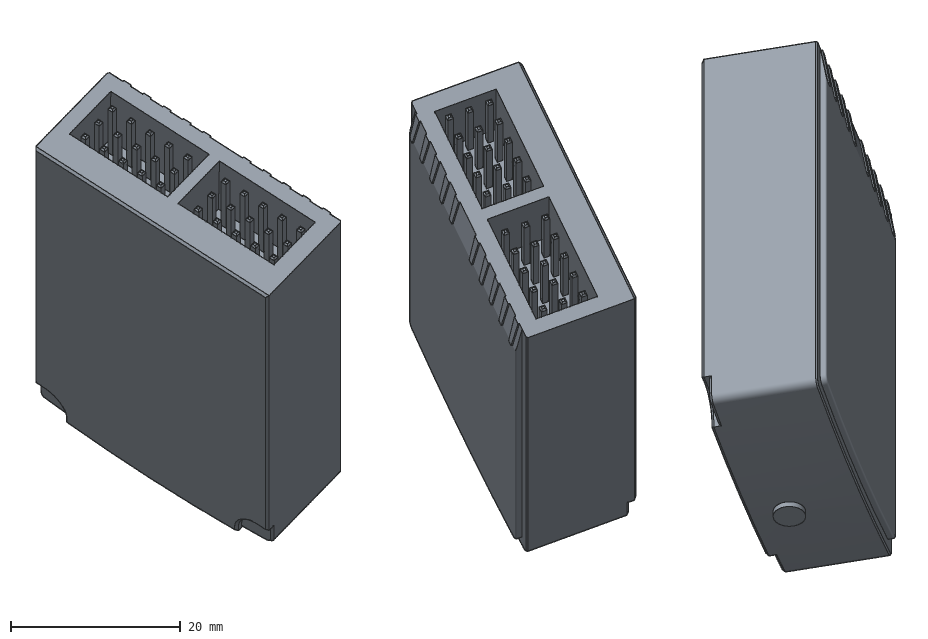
import cadquery as cq
import math

height = 52.4
case_width = 35.0
case_depth = 14.1
overall_depth = 15.1
knob_drop = 0.7
bottom_rise = 1.05
corner_radius = 1.0
front_chamfer = 0.3
back_chamfer = 0.185

recess_width = 4.6
recess_top = 5.25
recess_radius = 3.15
recess_depth = 0.95

plate_inset = 1.35
rib_height = 0.185
plate_thickness = overall_depth - rib_height - case_depth
ramp_length = 4.8
plate_edge_radius = 0.2
rib_base_width = 1.15
rib_crest_width = 0.75
rib_pitch = 3.0
ribs_per_group = 5
rib_group_centers = (-8.8, 9.15)

well_ranges = ((-15.5, -0.8), (0.8, 15.15))
well_front = 4.2
well_back = 12.05
well_back_draft = 0.2
well_depth = 9.45
pin_group_centers = (-8.5, 8.5)
pin_columns = 5
pin_rows = 3
pin_pitch_x = 2.85
pin_pitch_y = 2.55
pin_row_center = 8.0
pin_width = 0.75
pin_tip_chamfer = 0.2
pin_tip_clearance = 0.5

knob_diameter = 3.8
knob_x = -4.5
knob_y = 5.0
knob_embed = 1.05


def outline(inset):
    """Case outline in the XZ plane, moved inwards by inset on the sides and bottom."""
    half = case_width / 2 - inset
    low = knob_drop + inset
    return (
        cq.Workplane("XZ")
        .moveTo(-half, height)
        .lineTo(-half, low + bottom_rise)
        .threePointArc((0, low), (half, low + bottom_rise))
        .lineTo(half, height)
        .close()
    )


def slab(inset, front, back):
    """Outline extruded from front to back along Y, with rounded lower corners."""
    body = outline(inset).extrude(-(back - front)).translate((0, front, 0))
    return body.edges("|Y").edges("<Z").fillet(corner_radius)


def recess_cutter(side):
    """Full-depth block with a round inner upper corner, at one lower corner of the case."""
    edge = side * case_width / 2
    inner = edge - side * recess_width
    center_x = inner + side * recess_radius
    center_z = recess_top - recess_radius
    diagonal = recess_radius * math.sqrt(0.5)
    return (
        cq.Workplane("XZ")
        .moveTo(edge, recess_top)
        .lineTo(center_x, recess_top)
        .threePointArc((center_x - side * diagonal, center_z + diagonal), (inner, center_z))
        .lineTo(inner, 0)
        .lineTo(edge, 0)
        .close()
        .extrude(-case_depth)
    )


def make_case():
    """Case whose front face and recess floors both have chamfered borders."""
    front = slab(0, 0, case_depth)
    for side in (-1, 1):
        front = front.cut(recess_cutter(side))
    front = front.faces("<Y").chamfer(front_chamfer)
    rear = slab(0, recess_depth, case_depth).faces("<Y").chamfer(front_chamfer)
    case = front.union(rear)
    back_border = case.faces(">Y").edges("not >Z")
    return back_border.chamfer(back_chamfer)


def ramp_cutter(top_y):
    """Block behind a plane parallel to the ramp that meets the top face at top_y."""
    ramp_foot = height - ramp_length
    full_y = top_y + plate_thickness
    outer_y = full_y + plate_thickness
    return (
        cq.Workplane("YZ")
        .polyline([(top_y, height), (full_y, ramp_foot), (outer_y, ramp_foot), (outer_y, height)])
        .close()
        .extrude(case_width / 2, both=True)
    )


def make_plate():
    plate = slab(plate_inset, case_depth, case_depth + plate_thickness)
    plate = plate.cut(ramp_cutter(case_depth))
    return plate.faces(">Y").edges().fillet(plate_edge_radius)


def make_rib(x):
    """Trapezoid ridge lying along the ramp, standing off it by the rib height."""
    root = case_depth
    crest = overall_depth
    ridge = (
        cq.Workplane("XY", origin=(x, 0, height - ramp_length))
        .polyline([
            (-rib_base_width / 2, root),
            (-rib_crest_width / 2, crest),
            (rib_crest_width / 2, crest),
            (rib_base_width / 2, root),
        ])
        .close()
        .extrude(ramp_length)
    )
    return ridge.cut(ramp_cutter(case_depth + rib_height))


def spread(center, count, pitch):
    """Evenly spaced positions around a center."""
    return [center + (i - (count - 1) / 2) * pitch for i in range(count)]


def make_well(left, right):
    """Rectangular well whose back wall leans slightly inwards towards the floor."""
    floor = height - well_depth
    return (
        cq.Workplane("YZ", origin=(left, 0, 0))
        .polyline([
            (well_front, height),
            (well_back, height),
            (well_back - well_back_draft, floor),
            (well_front, floor),
        ])
        .close()
        .extrude(right - left)
    )


def make_pin(x, y):
    """Square pin standing on the well floor, with a bevelled tip."""
    length = well_depth - pin_tip_clearance
    pin = cq.Workplane("XY").box(pin_width, pin_width, length, centered=(True, True, False))
    return pin.faces(">Z").chamfer(pin_tip_chamfer).translate((x, y, height - well_depth))


def make_knob():
    return (
        cq.Workplane("XY", origin=(knob_x, knob_y, 0))
        .circle(knob_diameter / 2)
        .extrude(knob_drop + knob_embed)
    )


result = make_case().union(make_plate()).union(make_knob())

for group_center in rib_group_centers:
    for rib_x in spread(group_center, ribs_per_group, rib_pitch):
        result = result.union(make_rib(rib_x))

for left, right in well_ranges:
    result = result.cut(make_well(left, right))

for group_center in pin_group_centers:
    for pin_x in spread(group_center, pin_columns, pin_pitch_x):
        for pin_y in spread(pin_row_center, pin_rows, pin_pitch_y):
            result = result.union(make_pin(pin_x, pin_y))